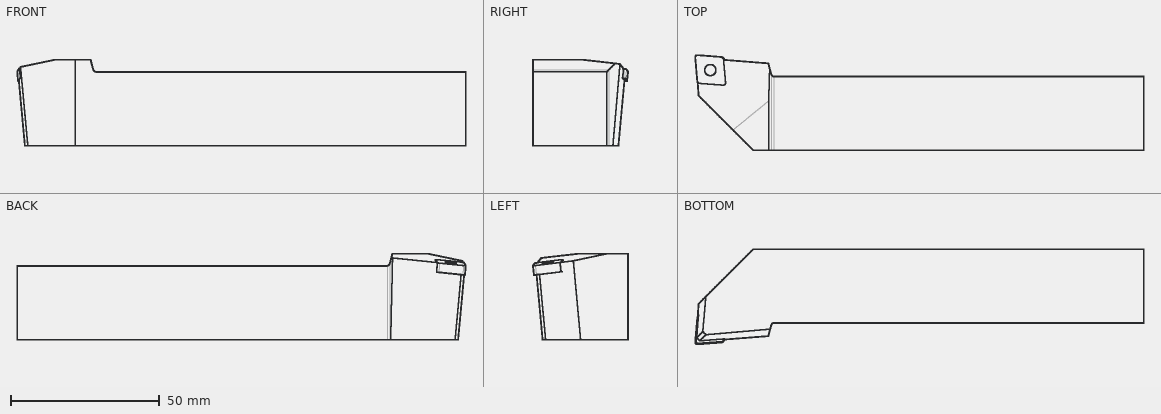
import cadquery as cq
import math

LENGTH = 151.0
SHANK = 24.9
HEAD_HEIGHT = 29.0
OVERLAP = 4.5

BEVEL_END_X = 19.6
BEVEL_CORNER_X = 3.6
FLANK_CORNER_Y = 27.8
CORNER_CHAMFER = 1.0
EDGE_ANGLE = 5.0
CLEARANCE_ANGLE = 5.3

SHOULDER_X = 24.8
SHOULDER_ANGLE = 15.0
SHOULDER_RADIUS = 0.9

FALL_START_X = 12.7
FALL_START_Y = BEVEL_END_X - FALL_START_X
FALL_ANGLE_X = 5.4
FALL_ANGLE_Y = 6.6
INSERT_X = 5.1
INSERT_Y = 27.0
INSERT_CIRCLE = 9.5
INSERT_THICKNESS = 3.2
INSERT_ANGLE = 80.0
NOSE_RADIUS = 0.8
PIN_DIAMETER = 3.8

FALL_X = math.tan(math.radians(FALL_ANGLE_X))
FALL_Y = math.tan(math.radians(FALL_ANGLE_Y))
EDGE_SLOPE = math.tan(math.radians(EDGE_ANGLE))
CLEARANCE_SLOPE = math.tan(math.radians(CLEARANCE_ANGLE))


def top_height(x, y):
    """Height of the tilted top plane above the base."""
    return HEAD_HEIGHT + FALL_X * (x - FALL_START_X) - FALL_Y * (y - FALL_START_Y)


def tilted_plane(x, y):
    """Plane on the tilted top face, its x direction running down the end cutting edge."""
    edge_drop = FALL_X * EDGE_SLOPE + FALL_Y
    return cq.Plane(
        origin=(x, y, top_height(x, y)),
        xDir=(EDGE_SLOPE, -1, edge_drop),
        normal=(-FALL_X, FALL_Y, 1),
    )


def head_outline(z):
    """Head outline at height z; the end and rear flanks lean outward."""
    lean = CLEARANCE_SLOPE * z
    corner_x = BEVEL_CORNER_X - lean
    corner_y = BEVEL_END_X - corner_x
    flank_y = FLANK_CORNER_Y + lean
    flank_x = corner_x - EDGE_SLOPE * (flank_y - corner_y)
    rear_x = flank_x + CORNER_CHAMFER
    rear_y = flank_y + CORNER_CHAMFER
    head_end = SHOULDER_X + OVERLAP
    return [
        (BEVEL_END_X, 0),
        (corner_x, corner_y),
        (flank_x, flank_y),
        (rear_x, rear_y),
        (head_end, rear_y - EDGE_SLOPE * (head_end - rear_x)),
        (head_end, 0),
    ]


def shoulder_cutter(plane, depth):
    """Space beyond the sloping shoulder, filleted where it meets the shank."""
    slope = math.tan(math.radians(SHOULDER_ANGLE))
    top = HEAD_HEIGHT + OVERLAP
    top_x = SHOULDER_X - slope * OVERLAP
    foot_x = SHOULDER_X + slope * (HEAD_HEIGHT - SHANK)
    far_x = foot_x + 2 * OVERLAP
    foot_edge_middle = plane.toWorldCoords((foot_x, SHANK, depth / 2))
    return (
        cq.Workplane(plane)
        .polyline([(top_x, top), (foot_x, SHANK), (far_x, SHANK), (far_x, top)])
        .close()
        .extrude(depth)
        .edges(cq.selectors.NearestToPointSelector(foot_edge_middle.toTuple()))
        .fillet(SHOULDER_RADIUS)
    )


def insert_blank(above=0.0):
    """Rhombic prism filling the insert pocket, reaching `above` over the top face."""
    angle = math.radians(INSERT_ANGLE)
    half_side = INSERT_CIRCLE / math.sin(angle) / 2
    step_x = half_side * math.cos(angle)
    step_y = half_side * math.sin(angle)
    corners = [
        (-half_side - step_x, -step_y),
        (half_side - step_x, -step_y),
        (half_side + step_x, step_y),
        (-half_side + step_x, step_y),
    ]
    plane = tilted_plane(INSERT_X, INSERT_Y)
    return (
        cq.Workplane(plane)
        .workplane(offset=-INSERT_THICKNESS)
        .polyline(corners)
        .close()
        .extrude(INSERT_THICKNESS + above)
        .edges(cq.selectors.ParallelDirSelector(plane.zDir))
        .fillet(NOSE_RADIUS)
    )


def clamp_pin():
    """Round pin standing on the pocket floor, flush with the top face."""
    return (
        cq.Workplane(tilted_plane(INSERT_X, INSERT_Y))
        .circle(PIN_DIAMETER / 2)
        .extrude(-INSERT_THICKNESS)
    )


def make_head():
    """Flared head with its shoulder and tilted top face."""
    head = (
        cq.Workplane("XY")
        .polyline(head_outline(0))
        .close()
        .workplane(offset=HEAD_HEIGHT)
        .polyline(head_outline(HEAD_HEIGHT))
        .close()
        .loft(ruled=True)
    )
    above_shank = shoulder_cutter(cq.Plane.XZ(), -2 * HEAD_HEIGHT)
    behind_shank = shoulder_cutter(cq.Plane.XY(), HEAD_HEIGHT)
    above_top = (
        cq.Workplane(tilted_plane(FALL_START_X, FALL_START_Y))
        .rect(LENGTH, LENGTH)
        .extrude(HEAD_HEIGHT)
    )
    return head.cut(above_shank).cut(behind_shank).cut(above_top)


def make_holder():
    """Shank and head in one piece, with the insert pocket and its pin."""
    shank_start = SHOULDER_X + OVERLAP / 2
    shank = cq.Workplane("XY").box(LENGTH - shank_start, SHANK, SHANK, centered=False)
    shank = shank.translate((shank_start, 0, 0))
    holder = make_head().union(shank)
    return holder.cut(insert_blank(above=OVERLAP)).union(clamp_pin())


def make_insert():
    """Cutting insert with its centre hole."""
    return insert_blank().cut(clamp_pin())


holder = make_holder()
insert = make_insert()

result = cq.Compound.makeCompound([holder.solids().val(), insert.solids().val()])